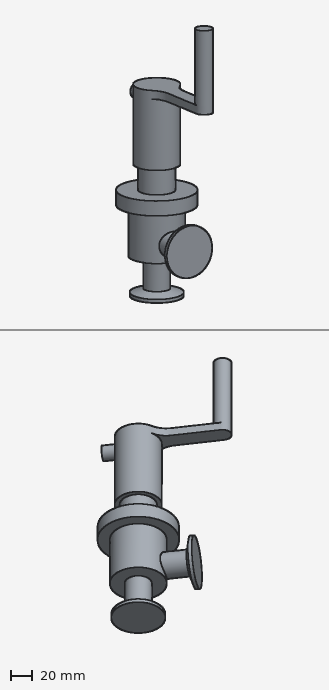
import cadquery as cq
import math

HOUSING_BOTTOM = 38.5
COLLAR_BOTTOM = 87.8
COLLAR_TOP = 102.2
SLEEVE_BOTTOM = 127.1
SLEEVE_TOP = 204.1
TOTAL_HEIGHT = 277.0

HOUSING_DIAMETER = 53.0
PORT_DIAMETER = 25.5
FERRULE_DIAMETER = 50.5
FERRULE_RIM = 3.5
FERRULE_CONE = 4.0
SIDE_PORT_HEIGHT = 55.5
SIDE_PORT_REACH = 55.5

COLLAR_DIAMETER = 76.0

NECK_DIAMETER = 35.0
SLEEVE_DIAMETER = 44.0
KNOB_DIAMETER = 15.0
KNOB_REACH = 33.5
KNOB_HEIGHT = 190.0
GRIP_DIAMETER = 17.0
ARM_REACH = 88.0
ARM_THICKNESS = 8.3
ARM_BLEND_RADIUS = 24.0


def cylinder(diameter, bottom, top):
    """Upright cylinder on the Z axis between two levels."""
    return cq.Workplane("XY").workplane(offset=bottom).circle(diameter / 2).extrude(top - bottom)


def make_port(length):
    """Pipe on the Z axis with its flared ferrule face at Z = 0."""
    pipe_radius = PORT_DIAMETER / 2
    ferrule_radius = FERRULE_DIAMETER / 2
    return (
        cq.Workplane("XZ")
        .moveTo(0, 0)
        .lineTo(ferrule_radius, 0)
        .lineTo(ferrule_radius, FERRULE_RIM)
        .lineTo(pipe_radius, FERRULE_RIM + FERRULE_CONE)
        .lineTo(pipe_radius, length)
        .lineTo(0, length)
        .close()
        .revolve(360, (0, 0, 0), (0, 1, 0))
    )


def make_housing():
    """Cylindrical housing with a bottom port and a side port."""
    barrel = cylinder(HOUSING_DIAMETER, HOUSING_BOTTOM, COLLAR_BOTTOM)
    bottom_port = make_port(HOUSING_BOTTOM)
    side_port = (
        make_port(SIDE_PORT_REACH)
        .rotate((0, 0, 0), (0, 1, 0), -90)
        .translate((SIDE_PORT_REACH, 0, SIDE_PORT_HEIGHT))
    )
    return barrel.union(bottom_port).union(side_port)


def make_collar():
    """Plain disc between the housing and the actuator."""
    return cylinder(COLLAR_DIAMETER, COLLAR_BOTTOM, COLLAR_TOP)


def make_arm():
    """Flat arm, blended tangentially into the sleeve, with a round outer end."""
    sleeve_radius = SLEEVE_DIAMETER / 2
    half_width = GRIP_DIAMETER / 2
    end_x = ARM_REACH - half_width

    blend_y = half_width + ARM_BLEND_RADIUS
    center_distance = sleeve_radius + ARM_BLEND_RADIUS
    blend_x = math.sqrt(center_distance**2 - blend_y**2)
    touch_x = blend_x * sleeve_radius / center_distance
    touch_y = blend_y * sleeve_radius / center_distance

    touch_angle = math.atan2(-blend_y, -blend_x)
    middle_angle = (touch_angle - math.pi / 2) / 2
    middle_x = blend_x + ARM_BLEND_RADIUS * math.cos(middle_angle)
    middle_y = blend_y + ARM_BLEND_RADIUS * math.sin(middle_angle)

    return (
        cq.Workplane("XY")
        .workplane(offset=SLEEVE_TOP - ARM_THICKNESS)
        .moveTo(touch_x, touch_y)
        .threePointArc((middle_x, middle_y), (blend_x, half_width))
        .lineTo(end_x, half_width)
        .threePointArc((ARM_REACH, 0), (end_x, -half_width))
        .lineTo(blend_x, -half_width)
        .threePointArc((middle_x, -middle_y), (touch_x, -touch_y))
        .threePointArc((-sleeve_radius, 0), (touch_x, touch_y))
        .close()
        .extrude(ARM_THICKNESS)
    )


def make_actuator():
    """Neck and sleeve with a side knob and a crank handle."""
    neck = cylinder(NECK_DIAMETER, COLLAR_TOP, SLEEVE_BOTTOM)
    sleeve = cylinder(SLEEVE_DIAMETER, SLEEVE_BOTTOM, SLEEVE_TOP)
    knob = (
        cq.Workplane("YZ")
        .center(0, KNOB_HEIGHT)
        .circle(KNOB_DIAMETER / 2)
        .extrude(-KNOB_REACH)
    )
    grip_x = ARM_REACH - GRIP_DIAMETER / 2
    grip = cylinder(GRIP_DIAMETER, SLEEVE_TOP, TOTAL_HEIGHT).translate((grip_x, 0, 0))
    return neck.union(sleeve).union(make_arm()).union(knob).union(grip)


housing = make_housing()
collar = make_collar()
actuator = make_actuator()

result = cq.Compound.makeCompound([housing.val(), collar.val(), actuator.val()])